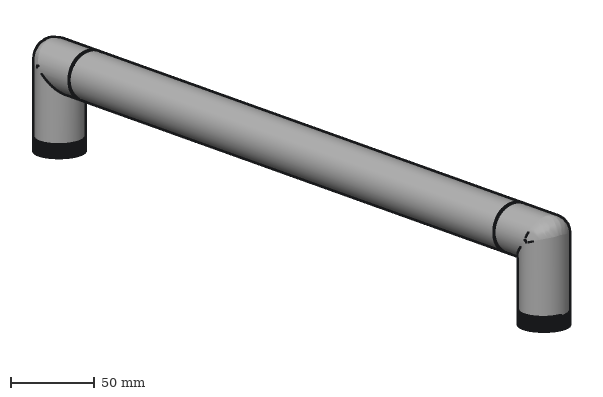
import cadquery as cq

overall_length = 489.0
overall_height = 70.0
tube_diameter = 32.0
elbow_length = 44.0
corner_radius = 10.5
joint_chamfer = 0.5

thread_height = 9.5
thread_pitch = 1.0
thread_depth = 0.5
thread_overcut = 0.25

spigot_diameter = 29.5
spigot_land = 3.0
spigot_groove_count = 3
spigot_groove_depth = 1.0

tip_margin = 0.15

tube_radius = tube_diameter / 2
axis_height = overall_height - tube_radius
leg_offset = overall_length / 2 - tube_radius
joint_offset = overall_length / 2 - elbow_length
thread_half_width = 0.4 * thread_pitch
spigot_pitch = 2 * spigot_land
spigot_length = spigot_groove_count * spigot_pitch
spigot_radius = spigot_diameter / 2

foot_plane = cq.Plane(origin=(-leg_offset, 0, 0), xDir=(-1, 0, 0), normal=(0, 0, 1))
joint_plane = cq.Plane(origin=(-joint_offset, 0, axis_height), xDir=(0, 0, 1), normal=(1, 0, 0))


def ring_groove(plane, start, width, outer_radius, depth):
    """Ring of material to remove, 'start' away from the plane along its normal."""
    return (
        cq.Workplane(plane)
        .workplane(offset=start)
        .circle(outer_radius)
        .circle(outer_radius - depth)
        .extrude(width)
    )


def make_mitred_tube():
    """Leg and arm with a sharp mitre and a bevelled joint face."""
    path = cq.Workplane("XZ").polyline(
        [(-leg_offset, 0), (-leg_offset, axis_height), (-joint_offset, axis_height)]
    )
    return (
        cq.Workplane(foot_plane)
        .circle(tube_radius)
        .sweep(path, transition="right")
        .faces(">X")
        .chamfer(joint_chamfer)
    )


def round_outer_corner(tube):
    """Round the outer mitre edge, which vanishes where it reaches the sides of the tube."""
    middle_zone = cq.Workplane("XY").box(
        2 * overall_length, tube_diameter - 2 * tip_margin, 2 * overall_height
    )
    outer_corner = cq.selectors.BoxSelector(
        (-overall_length, -tube_radius, axis_height),
        (-leg_offset, tube_radius, 2 * overall_height),
    )
    middle = tube.intersect(middle_zone)
    middle = middle.edges(outer_corner).edges("%ELLIPSE").fillet(corner_radius)
    return middle.union(tube.cut(middle_zone))


def make_spigot():
    """Grooved plug that reaches from the joint face into the bar."""
    spigot = cq.Workplane(joint_plane).circle(spigot_radius).extrude(spigot_length)
    for index in range(spigot_groove_count):
        start = spigot_land + index * spigot_pitch
        spigot = spigot.cut(
            ring_groove(joint_plane, start, spigot_land, spigot_radius, spigot_groove_depth)
        )
    return spigot


def make_thread_cutter():
    """Helical V groove that starts one pitch below the foot, so that it runs out through it."""
    start_height = -thread_pitch
    helix = cq.Wire.makeHelix(
        thread_pitch,
        thread_height - start_height,
        tube_radius,
        center=cq.Vector(-leg_offset, 0, start_height),
    )
    return (
        cq.Workplane("XZ", origin=(tube_radius - leg_offset, 0, start_height))
        .polyline(
            [
                (thread_overcut, -thread_half_width),
                (thread_overcut, thread_half_width),
                (-thread_depth, 0),
            ]
        )
        .close()
        .sweep(cq.Workplane(helix), isFrenet=True)
    )


def make_left_elbow():
    """Elbow with a rounded corner, threaded foot and spigot."""
    elbow = round_outer_corner(make_mitred_tube())
    return elbow.cut(make_thread_cutter()).union(make_spigot())


def make_bar():
    """Straight bar with bevelled rims and a socket for a spigot at each end."""
    bar = (
        cq.Workplane(joint_plane)
        .circle(tube_radius)
        .extrude(2 * joint_offset)
        .faces("<X or >X")
        .chamfer(joint_chamfer)
    )
    socket = cq.Workplane(joint_plane).circle(spigot_radius).extrude(spigot_length)
    return bar.cut(socket).cut(socket.mirror("YZ"))


bar = make_bar()
left_elbow = make_left_elbow()

elbows = []
for turn in (0, 180):
    elbows.append(left_elbow.rotate((0, 0, 0), (0, 0, 1), turn).val())

result = cq.Compound.makeCompound([bar.val(), *elbows])